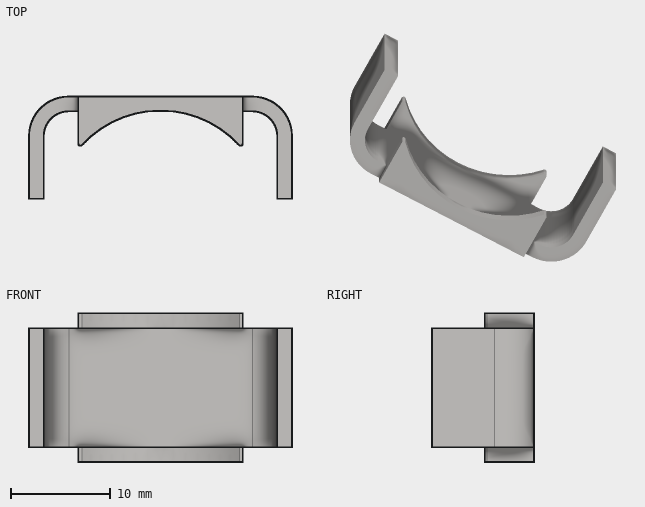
import cadquery as cq
import math

width = 26.5
depth = 10.3
strap_height = 12.0
thickness = 1.5
bend_radius = 4.0

total_height = 15.0
plate_width = 16.55
arc_radius = 10.73
tip_rounding = 0.2
arc_crown_depth = 1.43

back_y = depth / 2
plate_thickness = (total_height - strap_height) / 2


def make_strap():
    """Bent strap of constant thickness, centred on Z."""
    outer = (
        cq.Workplane("XY")
        .box(width, depth, strap_height)
        .edges("|Z and >Y")
        .fillet(bend_radius)
    )
    inner = (
        cq.Workplane("XY")
        .box(width - 2 * thickness, depth, strap_height)
        .edges("|Z and >Y")
        .fillet(bend_radius - thickness)
        .translate((0, -thickness, 0))
    )
    return outer.cut(inner)


def make_plate(bottom_z):
    """Flat plate with a concave circular front between two horns."""
    half_width = plate_width / 2
    arc_center_y = back_y - arc_crown_depth - arc_radius
    tip_y = arc_center_y + math.sqrt(arc_radius**2 - half_width**2)
    return (
        cq.Workplane("XY", origin=(0, 0, bottom_z))
        .moveTo(-half_width, back_y)
        .lineTo(half_width, back_y)
        .lineTo(half_width, tip_y)
        .threePointArc((0, back_y - arc_crown_depth), (-half_width, tip_y))
        .close()
        .extrude(plate_thickness)
        .edges("|Z and <Y")
        .fillet(tip_rounding)
    )


result = make_strap()
for plate_bottom_z in (strap_height / 2, -total_height / 2):
    result = result.union(make_plate(plate_bottom_z))